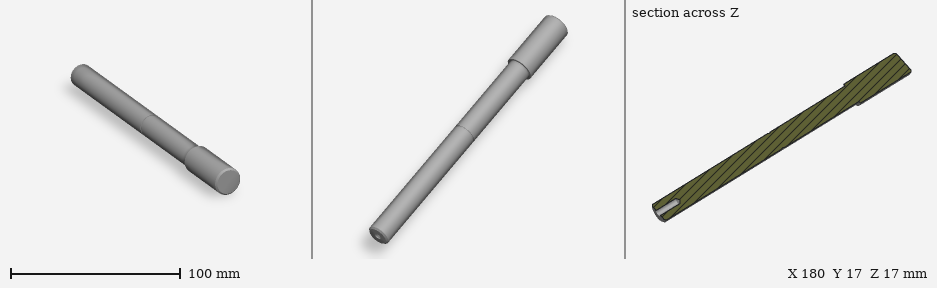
import cadquery as cq
import math

total_length = 180.0
shaft_diameter = 14.0
head_diameter = 17.0
head_length = 38.0
end_chamfer = 1.0

groove_start = 85.9
groove_width = 1.0
groove_depth = 0.4

centre_hole_diameter = 4.1
centre_hole_depth = 14.4
drill_tip_angle = 118.0


def cylinder(start, length, diameter):
    """Cylinder on the X axis, running from start toward +X."""
    return cq.Workplane("YZ", origin=(start, 0, 0)).circle(diameter / 2).extrude(length)


def stepped_body():
    """Shaft and head, with both outer end edges chamfered."""
    shaft = cylinder(0, total_length - head_length, shaft_diameter)
    head = cylinder(total_length - head_length, head_length, head_diameter)
    shaft = shaft.faces("<X").chamfer(end_chamfer)
    head = head.faces(">X").chamfer(end_chamfer)
    return shaft.union(head)


def ring_groove():
    """Ring of material removed from the shaft surface."""
    outer = cylinder(groove_start, groove_width, head_diameter)
    core = cylinder(groove_start, groove_width, shaft_diameter - 2 * groove_depth)
    return outer.cut(core)


def centre_hole():
    """Blind drilled hole with a conical tip, opening at the shaft end face."""
    radius = centre_hole_diameter / 2
    tip_length = radius / math.tan(math.radians(drill_tip_angle / 2))
    half_section = (
        cq.Workplane("XY")
        .moveTo(0, 0)
        .lineTo(0, radius)
        .lineTo(centre_hole_depth, radius)
        .lineTo(centre_hole_depth + tip_length, 0)
        .close()
    )
    return half_section.revolve(360, (0, 0, 0), (1, 0, 0))


result = stepped_body().cut(ring_groove()).cut(centre_hole())